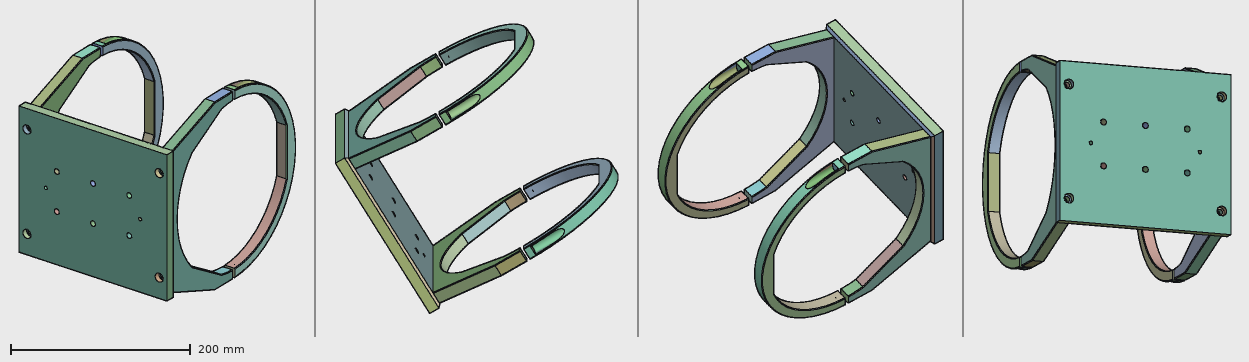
import cadquery as cq
import math

overall_depth = 247.0
overall_height = 234.0

plate_length = 204.0
plate_height = 182.0
plate_thickness = 15.0
plate_chamfer = 3.0

frame_spacing = 182.3
frame_width = 14.8
frame_edge_chamfer = 0.95
opening_radius = 105.0
clamp_flat_distance = 99.5
arm_flat_distance = 100.0
arm_flat_angle = 30.0
shoulder_distance = 34.8
split_gap = 4.5

slot_width = 10.9
slot_axis_height = 111.0
slot_floor = 10.1

screw_spacing_z = 130.0
screw_hole_diameter = 6.7
counterbore_diameter = 10.9
counterbore_depth = 7.0
tapped_hole_diameter = 5.0
tapped_hole_depth = 20.0
drill_tip_angle = 118.0

mounting_hole_diameter = 6.7
mounting_spacing_x = 50.0
mounting_spacing_z = 50.0
dowel_hole_diameter = 4.0
dowel_spacing = 130.0

ring_radius = overall_height / 2
plate_front_y = ring_radius - overall_depth
plate_back_y = plate_front_y + plate_thickness
foot_half_height = plate_height / 2 - plate_chamfer
frame_positions = [-frame_spacing / 2, frame_spacing / 2]


def slab(y_start, y_end):
    """Block that keeps everything between two Y positions."""
    block = cq.Workplane("XY").box(2 * plate_length, y_end - y_start, 2 * overall_height)
    return block.translate((0, (y_start + y_end) / 2, 0))


def plate_drill(diameter, depth, points):
    """Round cutters that go into the plate from its front face, at (x, z) points."""
    plane = cq.Plane(origin=(0, plate_front_y, 0), xDir=(1, 0, 0), normal=(0, -1, 0))
    return cq.Workplane(plane).pushPoints(points).circle(diameter / 2).extrude(-depth)


def make_plate():
    """Rectangular plate, chamfered around its back face and drilled."""
    blank = cq.Workplane("XY").box(plate_length, plate_thickness, plate_height)
    blank = blank.faces(">Y").chamfer(plate_chamfer)
    plate = blank.translate((0, plate_front_y + plate_thickness / 2, 0))

    screw_points = [(x, z * screw_spacing_z / 2) for x in frame_positions for z in (-1, 1)]
    mounting_points = [
        (column * mounting_spacing_x, row * mounting_spacing_z / 2)
        for column in (-1, 0, 1)
        for row in (-1, 1)
    ]
    dowel_points = [(-dowel_spacing / 2, 0), (dowel_spacing / 2, 0)]

    plate = plate.cut(plate_drill(screw_hole_diameter, plate_thickness, screw_points))
    plate = plate.cut(plate_drill(counterbore_diameter, counterbore_depth, screw_points))
    plate = plate.cut(plate_drill(mounting_hole_diameter, plate_thickness, mounting_points))
    return plate.cut(plate_drill(dowel_hole_diameter, plate_thickness, dowel_points))


def make_opening():
    """Round opening with one flat in the clamp and two sloping flats in the arm."""
    circle = cq.Workplane("YZ").circle(opening_radius).extrude(frame_width / 2, both=True)
    slope_angle = math.radians(arm_flat_angle)
    apex_distance = arm_flat_distance / math.sin(slope_angle)
    half_base = (clamp_flat_distance + apex_distance) * math.tan(slope_angle)
    corners = [
        (clamp_flat_distance, half_base),
        (-apex_distance, 0),
        (clamp_flat_distance, -half_base),
    ]
    triangle = cq.Workplane("YZ").polyline(corners).close().extrude(frame_width / 2, both=True)
    return circle.intersect(triangle)


def make_frame():
    """Whole chamfered frame at X = 0, running past the plate and not yet split."""
    slope = (ring_radius - foot_half_height) / (-shoulder_distance - plate_back_y)
    end_half_height = foot_half_height - slope * plate_thickness
    outline = (
        cq.Workplane("YZ")
        .moveTo(plate_front_y, -end_half_height)
        .lineTo(-shoulder_distance, -ring_radius)
        .lineTo(0, -ring_radius)
        .threePointArc((ring_radius, 0), (0, ring_radius))
        .lineTo(-shoulder_distance, ring_radius)
        .lineTo(plate_front_y, end_half_height)
        .close()
    )
    frame = outline.extrude(frame_width / 2, both=True).cut(make_opening())
    return frame.faces("<X or >X").chamfer(frame_edge_chamfer)


def tapped_hole():
    """Drilled hole with a conical bottom, entering along +Y at the arm's foot."""
    radius = tapped_hole_diameter / 2
    tip_length = radius / math.tan(math.radians(drill_tip_angle / 2))
    return (
        cq.Workplane("XY")
        .moveTo(0, plate_back_y)
        .lineTo(radius, plate_back_y)
        .lineTo(radius, plate_back_y + tapped_hole_depth)
        .lineTo(0, plate_back_y + tapped_hole_depth + tip_length)
        .close()
        .revolve(360, (0, 0, 0), (0, 1, 0))
    )


def make_arm():
    """Part of the frame between the plate and the split, with two tapped holes."""
    arm = make_frame().intersect(slab(plate_back_y, -split_gap / 2))
    for side in (-1, 1):
        arm = arm.cut(tapped_hole().translate((0, 0, side * screw_spacing_z / 2)))
    return arm


def screw_slot():
    """Round-bottomed slot along Y, open towards +Z, at the top of the clamp."""
    half_width = slot_width / 2
    plane = cq.Plane(origin=(0, slot_floor, 0), xDir=(1, 0, 0), normal=(0, -1, 0))
    return (
        cq.Workplane(plane)
        .moveTo(-half_width, overall_height)
        .lineTo(-half_width, slot_axis_height)
        .threePointArc((0, slot_axis_height - half_width), (half_width, slot_axis_height))
        .lineTo(half_width, overall_height)
        .close()
        .extrude(-ring_radius)
    )


def make_clamp():
    """Outer half of the frame, with a screw slot at the top and one at the bottom."""
    top_slot = screw_slot()
    bottom_slot = top_slot.mirror("XY")
    clamp = make_frame().intersect(slab(split_gap / 2, 2 * ring_radius))
    return clamp.cut(top_slot).cut(bottom_slot)


plate = make_plate()
arms = [make_arm().translate((x, 0, 0)) for x in frame_positions]
clamps = [make_clamp().translate((x, 0, 0)) for x in frame_positions]

result = cq.Compound.makeCompound(
    [body.solids().val() for body in [plate, *arms, *clamps]]
)